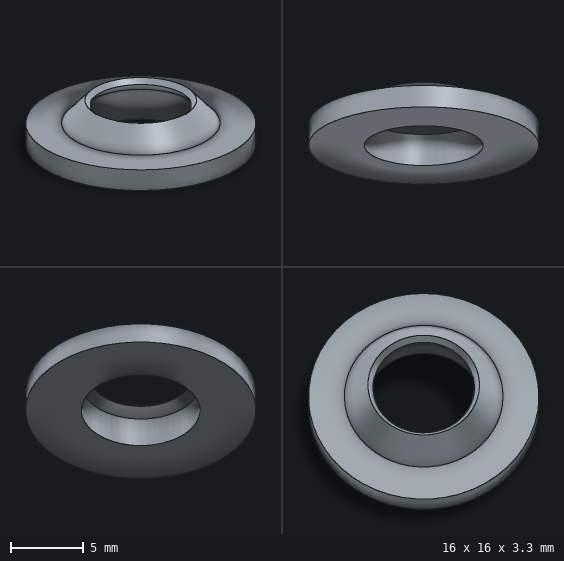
import cadquery as cq

flange_diameter = 16.0
flange_thickness = 1.58
total_height = 3.3
collar_base_diameter = 11.0
collar_top_diameter = 7.75

lip_diameter = 7.0
lip_chamfer_depth = 0.37
undercut_depth = 0.64

bore_diameter = 8.22

flange_radius = flange_diameter / 2
collar_base_radius = collar_base_diameter / 2
rim_radius = collar_top_diameter / 2
lip_radius = lip_diameter / 2
bore_radius = bore_diameter / 2
lip_height = total_height - lip_chamfer_depth
bore_height = lip_height - undercut_depth

half_section = (
    cq.Workplane("XZ")
    .moveTo(bore_radius, 0)
    .lineTo(flange_radius, 0)
    .lineTo(flange_radius, flange_thickness)
    .lineTo(collar_base_radius, flange_thickness)
    .lineTo(rim_radius, total_height)
    .lineTo(lip_radius, lip_height)
    .lineTo(bore_radius, bore_height)
    .close()
)

result = half_section.revolve(360, (0, 0, 0), (0, 1, 0))